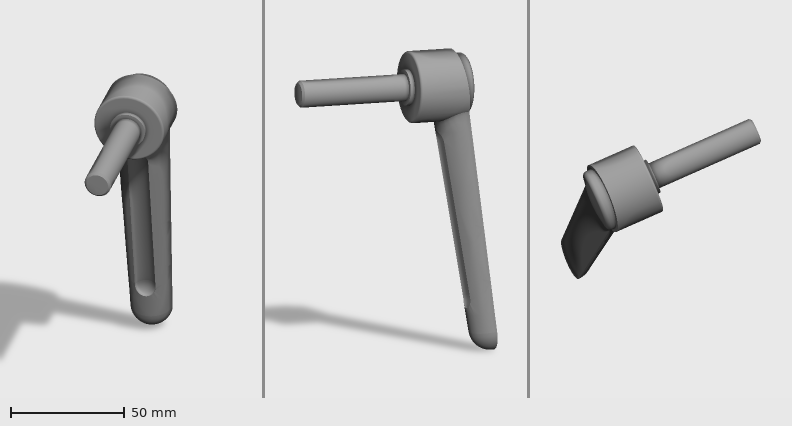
import cadquery as cq
import math


ARC_MIDPOINT = math.sqrt(0.5)

stud_radius = 6.0
stud_length = 50.0
stud_chamfer = 1.0
collar_radius = 8.0
collar_length = 2.0

hub_radius = 16.0
hub_edge_radius = 1.0

back_slope = 8.0
back_offset = 22.65

button_radius = 14.0
button_wall_end = 24.4
button_edge_radius = 2.0
button_top = 27.85

handle_slope = 8.2
handle_root_radius = 12.4
handle_tip_radius = 9.5
handle_length = 111.6

groove_radius = 4.75
groove_axis_depth = 0.92
groove_low_end = 16.0
groove_high_end = 88.0


def sloping_plane(origin, slope):
    """Plane facing +Y and tilted upwards; its local Y runs down the slope."""
    angle = math.radians(slope)
    return cq.Plane(origin=origin, xDir=(1, 0, 0), normal=(0, math.cos(angle), math.sin(angle)))


back_plane = sloping_plane((0, back_offset, 0), back_slope)
handle_end = back_plane.toWorldCoords((0, handle_length, 0))
handle_plane = sloping_plane(handle_end, handle_slope)


def y_cylinder(radius, start, end):
    """Cylinder on the Y axis between two Y positions."""
    return cq.Workplane("XZ", origin=(0, end, 0)).circle(radius).extrude(end - start)


def make_stud():
    tip = -collar_length - stud_length
    stud = y_cylinder(stud_radius, tip, 0).faces("<Y").chamfer(stud_chamfer)
    return stud.union(y_cylinder(collar_radius, -collar_length, 0))


def cut_behind_back_plane(body):
    """Remove everything on the +Y side of the back plane."""
    side = 4 * handle_length
    return body.cut(cq.Workplane(back_plane).rect(side, side).extrude(side))


def make_hub():
    blank = y_cylinder(hub_radius, 0, button_top).faces("<Y").edges().fillet(hub_edge_radius)
    return cut_behind_back_plane(blank)


def make_button():
    """Round button with a rounded edge and a shallow domed face."""
    shoulder_y = button_wall_end + button_edge_radius
    shoulder_x = button_radius - button_edge_radius
    bevel = button_edge_radius * ARC_MIDPOINT
    dome_rise = button_top - shoulder_y
    dome_radius = (shoulder_x**2 + dome_rise**2) / (2 * dome_rise)
    half_x = shoulder_x / 2
    half_y = button_top - dome_radius + math.sqrt(dome_radius**2 - half_x**2)
    profile = (
        cq.Workplane("XY")
        .moveTo(0, hub_edge_radius)
        .lineTo(button_radius, hub_edge_radius)
        .lineTo(button_radius, button_wall_end)
        .threePointArc((shoulder_x + bevel, button_wall_end + bevel), (shoulder_x, shoulder_y))
        .threePointArc((half_x, half_y), (0, button_top))
        .close()
    )
    return profile.revolve(360, (0, 0, 0), (0, 1, 0))


def make_handle():
    bend = handle_tip_radius * ARC_MIDPOINT
    profile = (
        cq.Workplane(handle_plane)
        .moveTo(0, -handle_length)
        .lineTo(handle_root_radius, -handle_length)
        .lineTo(handle_tip_radius, 0)
        .threePointArc((bend, bend), (0, handle_tip_radius))
        .close()
    )
    return cut_behind_back_plane(profile.revolve(360, (0, 0, 0), (0, 1, 0)))


def groove_centre(height):
    """Point on the groove axis at a height above the centre of the handle end."""
    taper = (handle_root_radius - handle_tip_radius) / handle_length
    ridge_radius = handle_tip_radius + taper * height
    return handle_plane.toWorldCoords((0, -height, groove_axis_depth - ridge_radius))


def make_groove():
    """Ball-ended round bar to be cut from the handle."""
    low = groove_centre(groove_low_end)
    run = groove_centre(groove_high_end) - low
    x_axis = cq.Vector(1, 0, 0)
    axis_plane = cq.Plane(origin=low, xDir=x_axis, normal=x_axis.cross(run))
    length = run.Length
    bend = groove_radius * ARC_MIDPOINT
    profile = (
        cq.Workplane(axis_plane)
        .moveTo(0, -groove_radius)
        .threePointArc((bend, -bend), (groove_radius, 0))
        .lineTo(groove_radius, length)
        .threePointArc((bend, length + bend), (0, length + groove_radius))
        .close()
    )
    return profile.revolve(360, (0, 0, 0), (0, 1, 0))


handle = make_handle().cut(make_groove())
result = make_hub().union(handle).union(make_button()).union(make_stud())